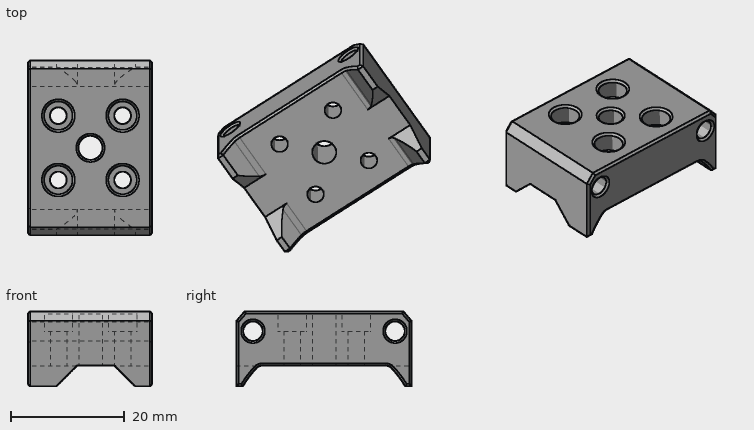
import cadquery as cq
import math

width = 21.89
length = 30.8
height = 13.21

shoulder_run = 1.45
shoulder_drop = 1.68

recess_depth = 3.65
saddle_radius = 16.5
saddle_axis_z = -8.25
saddle_blend_radius = 1.5

channel_floor_width = 6.57
channel_mouth_width = channel_floor_width + 2 * recess_depth
channel_offset_x = 1.0

side_bevel = 0.42

pattern_offset_x = 0.08
screw_circle_radius = 8.0
screw_count = 4
screw_diameter = 2.9
counterbore_diameter = 5.0
counterbore_depth = 3.5
center_diameter = 4.2

cross_diameter = 3.4
cross_spacing = 25.0
cross_depth_below_top = 3.5

hole_bevel = 0.4


def make_body():
    """Cross-section in the YZ plane, extruded along X, with its side faces bevelled."""
    half_length = length / 2
    foot_y = math.sqrt(saddle_radius**2 - saddle_axis_z**2)
    recess_y = math.sqrt(saddle_radius**2 - (recess_depth - saddle_axis_z) ** 2)

    foot_angle = math.atan2(-saddle_axis_z, foot_y)
    recess_angle = math.atan2(recess_depth - saddle_axis_z, recess_y)
    middle_angle = (foot_angle + recess_angle) / 2
    middle_y = saddle_radius * math.cos(middle_angle)
    middle_z = saddle_axis_z + saddle_radius * math.sin(middle_angle)

    body = (
        cq.Workplane("YZ")
        .moveTo(-half_length, 0)
        .lineTo(-half_length, height - shoulder_drop)
        .lineTo(-half_length + shoulder_run, height)
        .lineTo(half_length - shoulder_run, height)
        .lineTo(half_length, height - shoulder_drop)
        .lineTo(half_length, 0)
        .lineTo(foot_y, 0)
        .threePointArc((middle_y, middle_z), (recess_y, recess_depth))
        .lineTo(-recess_y, recess_depth)
        .threePointArc((-middle_y, middle_z), (-foot_y, 0))
        .close()
        .extrude(width / 2, both=True)
    )
    for side in (-1, 1):
        blend_edge = cq.selectors.NearestToPointSelector((0, side * recess_y, recess_depth))
        body = body.edges(blend_edge).fillet(saddle_blend_radius)
    return body.faces("<X or >X").chamfer(side_bevel)


def make_channel():
    """Trapezoid opening downward, cut along Y."""
    half_mouth = channel_mouth_width / 2
    half_floor = channel_floor_width / 2
    return (
        cq.Workplane("XZ")
        .center(channel_offset_x, 0)
        .moveTo(-half_mouth, 0)
        .lineTo(-half_floor, recess_depth)
        .lineTo(half_floor, recess_depth)
        .lineTo(half_mouth, 0)
        .close()
        .extrude(length / 2, both=True)
    )


def bevelled_bore(entry, direction, diameter, depth):
    """Straight bore from an entry point, with a conical bevel at its mouth."""
    radius = diameter / 2
    bore = cq.Solid.makeCylinder(radius, depth, entry, direction)
    mouth = cq.Solid.makeCone(radius + hole_bevel, radius, hole_bevel, entry, direction)
    return bore.fuse(mouth)


def cut_top_holes(body):
    """Central through hole and the ring of counterbored screw holes."""
    down = cq.Vector(0, 0, -1)
    center_entry = cq.Vector(pattern_offset_x, 0, height)
    body = body.cut(bevelled_bore(center_entry, down, center_diameter, height))
    for index in range(screw_count):
        angle = 2 * math.pi * (index + 0.5) / screw_count
        x = pattern_offset_x + screw_circle_radius * math.cos(angle)
        y = screw_circle_radius * math.sin(angle)
        entry = cq.Vector(x, y, height)
        body = body.cut(bevelled_bore(entry, down, counterbore_diameter, counterbore_depth))
        body = body.cut(cq.Solid.makeCylinder(screw_diameter / 2, height, entry, down))
    return body


def cut_cross_holes(body):
    """Two through holes along X, bevelled at both mouths."""
    z = height - cross_depth_below_top
    for y in (-cross_spacing / 2, cross_spacing / 2):
        for side in (-1, 1):
            entry = cq.Vector(side * width / 2, y, z)
            inward = cq.Vector(-side, 0, 0)
            body = body.cut(bevelled_bore(entry, inward, cross_diameter, width))
    return body


body = make_body().cut(make_channel())
result = cut_cross_holes(cut_top_holes(body))